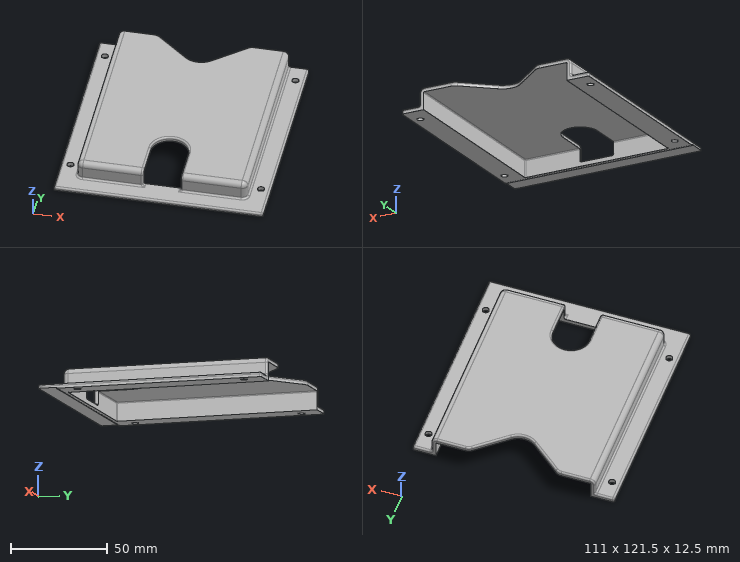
import cadquery as cq
import math

flange_width = 111.0
flange_length = 121.5
flange_thickness = 2.0
pad_thickness = 0.5
pocket_width = 90.0
pocket_front = 10.0
pocket_radius = 3.0
total_height = 12.5
wall = 2.5
edge_radius = 1.0

notch_half_width = 24.5
notch_depth = 17.5
notch_bottom_radius = 10.0
notch_corner_radius = 5.0

slot_width = 20.0
slot_center = 30.0

hole_diameter = 3.5
hole_side_offset = 5.0
hole_front_offset = 20.0
hole_back_offset = 11.0

flange_top = pad_thickness + flange_thickness
cavity_front = pocket_front + wall
cavity_width = pocket_width - 2 * wall
cavity_height = total_height - wall
cavity_radius = pocket_radius - wall
tolerance = 0.01


def block(width, front, back, bottom, top):
    """Box centred on X between the given Y and Z limits."""
    corner = (-width / 2, front, bottom)
    return cq.Workplane("XY").box(width, back - front, top - bottom, centered=False).translate(corner)


def inside_box(lower, upper):
    """Selector for the edges that lie wholly inside a box grown slightly on every side."""
    margin = cq.Vector(tolerance, tolerance, tolerance)
    low = cq.Vector(*lower) - margin
    high = cq.Vector(*upper) + margin
    return cq.selectors.BoxSelector(low.toTuple(), high.toTuple(), boundingbox=True)


def make_base():
    """Flange with its stepped underside and rounded vertical corners."""
    flange = block(flange_width, 0, flange_length, pad_thickness, flange_top)
    pad = block(flange_width, pocket_front, flange_length, 0, pad_thickness)
    base = flange.union(pad)
    base = base.edges("|Z").edges("<Y").fillet(edge_radius)
    return base.edges("|Z").edges(">Y").fillet(edge_radius)


def make_pocket():
    """Solid outer form of the pocket, rounded at the front corners and the top."""
    pocket = block(pocket_width, pocket_front, flange_length, pad_thickness, total_height)
    pocket = pocket.edges("|Z and <Y").fillet(pocket_radius)
    return pocket.faces(">Z").edges("not(>Y)").fillet(pocket_radius)


def make_cavity():
    """Inside of the pocket, open at the bottom and at the back."""
    cavity = block(cavity_width, cavity_front, flange_length + wall, 0, cavity_height)
    cavity = cavity.edges("|Z and <Y").fillet(cavity_radius)
    return cavity.faces(">Z").edges("not(>Y)").fillet(cavity_radius)


def make_slot():
    """Round-ended slot that opens through the pocket front wall."""
    height = total_height - flange_top
    slot = block(slot_width, 0, slot_center, flange_top, total_height)
    end = cq.Workplane("XY", origin=(0, slot_center, flange_top)).circle(slot_width / 2).extrude(height)
    return slot.union(end)


def make_notch():
    """V-shaped notch with a rounded bottom and rounded corners at the back edge."""
    center_depth = notch_depth - notch_bottom_radius
    center_distance = math.hypot(notch_half_width, center_depth)
    angle = math.atan2(center_depth, notch_half_width) + math.asin(notch_bottom_radius / center_distance)
    bottom = flange_length - notch_depth
    arc_center = flange_length - center_depth
    flank_x = notch_bottom_radius * math.sin(angle)
    flank_y = arc_center - notch_bottom_radius * math.cos(angle)
    corner_reach = notch_corner_radius * math.tan(angle / 2)
    corner_top_x = notch_half_width + corner_reach
    corner_low_x = notch_half_width - corner_reach * math.cos(angle)
    corner_low_y = flange_length - corner_reach * math.sin(angle)
    corner_mid_x = corner_top_x - notch_corner_radius * math.sin(angle / 2)
    corner_mid_y = flange_length - notch_corner_radius * (1 - math.cos(angle / 2))
    profile = (
        cq.Workplane("XY", origin=(0, 0, flange_top))
        .moveTo(-corner_top_x, flange_length)
        .threePointArc((-corner_mid_x, corner_mid_y), (-corner_low_x, corner_low_y))
        .lineTo(-flank_x, flank_y)
        .threePointArc((0, bottom), (flank_x, flank_y))
        .lineTo(corner_low_x, corner_low_y)
        .threePointArc((corner_mid_x, corner_mid_y), (corner_top_x, flange_length))
        .close()
    )
    return profile.extrude(total_height - flange_top)


def make_holes():
    """Screw holes along both side strips of the flange."""
    hole_x = flange_width / 2 - hole_side_offset
    hole_rows = (hole_front_offset, flange_length - hole_back_offset)
    centers = [(side * hole_x, y) for side in (-1, 1) for y in hole_rows]
    return cq.Workplane("XY").pushPoints(centers).circle(hole_diameter / 2).extrude(flange_top)


def round_foot(body):
    """Concave fillet where the pocket walls meet the flange, including the slot sides."""
    foot_plane = inside_box(
        (-pocket_width / 2, pocket_front, flange_top),
        (pocket_width / 2, flange_length, flange_top),
    )
    slot_sill = inside_box(
        (-slot_width / 2, cavity_front, flange_top),
        (slot_width / 2, cavity_front, flange_top),
    )
    return body.edges(foot_plane - slot_sill).fillet(edge_radius)


def round_slot(body):
    """Round the outer slot edge; the fillet follows the tangent edges down the front wall."""
    slot_end = inside_box(
        (-slot_width / 2, slot_center, total_height),
        (slot_width / 2, slot_center + slot_width / 2, total_height),
    )
    return body.edges(slot_end).fillet(edge_radius)


def round_rim(body):
    """Round the tangent chain of flange rim, back profile and notch, started at the front edge."""
    front_edge = inside_box(
        (-flange_width / 2, 0, flange_top),
        (flange_width / 2, 0, flange_top),
    )
    return body.edges(front_edge).fillet(edge_radius)


body = make_base().union(make_pocket())
body = body.cut(make_cavity()).cut(make_slot()).cut(make_notch())
body = round_foot(body)
body = round_slot(body)
body = round_rim(body)
result = body.cut(make_holes())